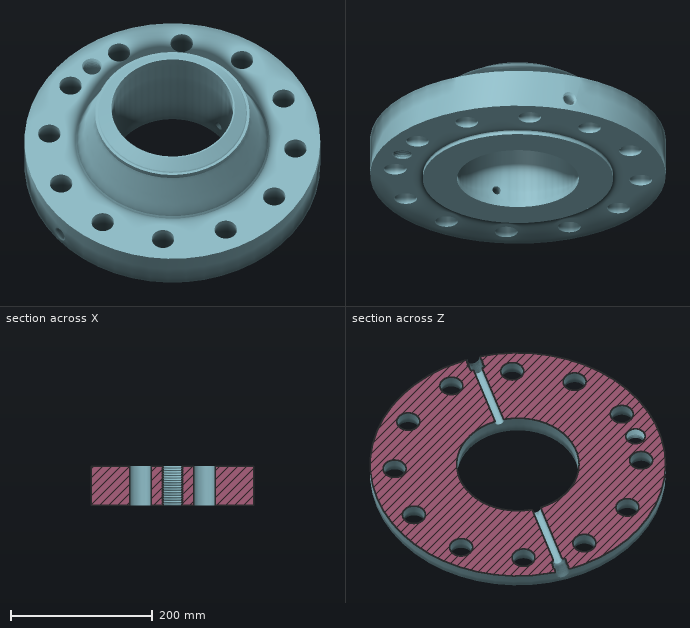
import cadquery as cq
import math

flange_diameter = 419.0
raised_face_diameter = 270.0
raised_face_height = 6.3
flange_top = 62.0
overall_height = 139.5

hub_foot_diameter = 275.8
hub_base_diameter = 270.7
hub_foot_height = 2.5
collar_diameter = 218.8
collar_bottom = 119.5
collar_top = 126.5

step_base_diameter = 211.2
bevel_base_diameter = 208.7
bevel_step_height = 1.3
land_outer_diameter = 177.0
bore_diameter = 172.5

bolt_circle_diameter = 349.5
bolt_hole_diameter = 32.0
bolt_count = 12
bolt_spacing = 360.0 / bolt_count

jack_major_diameter = 28.5
jack_minor_diameter = 25.5
jack_pitch = 3.5

tap_height = 24.0
tap_major_diameter = 22.0
tap_minor_diameter = 17.5
tap_pitch = 1.8
tap_thread_turns = 11
tap_passage_diameter = 12.5
drill_point_angle = 118.0

clearance = 4.0


def make_body():
    """Revolve the flange, hub and bore as one profile about Z."""
    profile = [
        (bore_diameter / 2, 0),
        (raised_face_diameter / 2, 0),
        (raised_face_diameter / 2, raised_face_height),
        (flange_diameter / 2, raised_face_height),
        (flange_diameter / 2, flange_top),
        (hub_foot_diameter / 2, flange_top),
        (hub_base_diameter / 2, flange_top + hub_foot_height),
        (collar_diameter / 2, collar_bottom),
        (collar_diameter / 2, collar_top),
        (step_base_diameter / 2, collar_top),
        (bevel_base_diameter / 2, collar_top + bevel_step_height),
        (land_outer_diameter / 2, overall_height),
        (bore_diameter / 2, overall_height),
    ]
    return cq.Workplane("XZ").polyline(profile).close().revolve(360, (0, 0), (0, 1))


def thread_outline(major_radius, minor_radius, pitch, turns):
    """Zigzag of (radius, depth) points for a run of V grooves starting at depth 0."""
    points = [(major_radius, 0)]
    for turn in range(turns):
        points.append((minor_radius, (turn + 0.5) * pitch))
        points.append((major_radius, (turn + 1) * pitch))
    return points


def revolve_cutter(outline):
    """Turn a (radius, depth) outline into a solid pointing down from the origin."""
    profile = [(radius, -depth) for radius, depth in outline]
    return cq.Workplane("XZ").polyline(profile).close().revolve(360, (0, 0), (0, 1))


def make_bolt_holes():
    return (
        cq.Workplane("XY")
        .polarArray(bolt_circle_diameter / 2, bolt_spacing / 2, 360, bolt_count)
        .circle(bolt_hole_diameter / 2)
        .extrude(flange_top + clearance)
    )


def make_jack_hole():
    """Threaded all the way through the flange."""
    turns = math.ceil((flange_top - raised_face_height) / jack_pitch)
    thread = thread_outline(jack_major_diameter / 2, jack_minor_diameter / 2, jack_pitch, turns)
    cutter = revolve_cutter([(0, 0)] + thread + [(0, turns * jack_pitch)])
    return cutter.translate((-bolt_circle_diameter / 2, 0, flange_top))


def make_tap():
    """Radial tap entering from the -Y side of the flange rim."""
    major_radius = tap_major_diameter / 2
    passage_radius = tap_passage_diameter / 2
    thread_depth = tap_thread_turns * tap_pitch
    thread = thread_outline(major_radius, tap_minor_diameter / 2, tap_pitch, tap_thread_turns)
    cone_depth = (major_radius - passage_radius) / math.tan(math.radians(drill_point_angle / 2))
    bore_depth = flange_diameter / 2 - bore_diameter / 2 + clearance
    cutter = revolve_cutter(
        [(0, -clearance), (major_radius, -clearance)]
        + thread
        + [(passage_radius, thread_depth + cone_depth), (passage_radius, bore_depth), (0, bore_depth)]
    )
    return cutter.rotate((0, 0, 0), (1, 0, 0), 90).translate((0, -flange_diameter / 2, tap_height))


result = make_body().cut(make_bolt_holes()).cut(make_jack_hole())

tap = make_tap()
for tap_angle in (0, 180):
    result = result.cut(tap.rotate((0, 0, 0), (0, 0, 1), tap_angle))